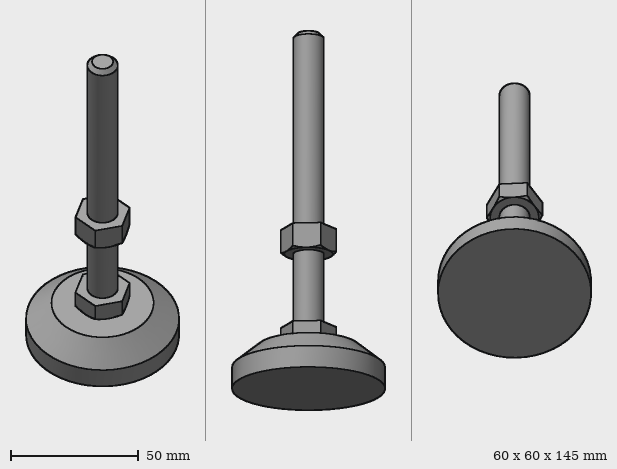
import cadquery as cq
import math

total_height = 145.0

pad_diameter = 60.0
pad_top_diameter = 40.0
pad_rim_height = 8.7
pad_height = 17.0

rod_diameter = 12.0
rod_end_chamfer = 1.9
collar_height = 8.0

across_flats = 19.0
across_corners = across_flats / math.cos(math.radians(30))
hex_chamfer_angle = 30.0

nut_height = 10.0
nut_bottom = 55.0


def make_hexagon(bottom, height):
    """Hexagonal prism, corners on X, with its lower corners turned off by a cone."""
    prism = cq.Workplane("XY").workplane(offset=bottom).polygon(6, across_corners).extrude(height)
    corner_depth = (across_corners - across_flats) / 2
    chamfer_height = corner_depth * math.tan(math.radians(hex_chamfer_angle))
    turned_blank = (
        cq.Workplane("XY")
        .workplane(offset=bottom)
        .circle(across_corners / 2)
        .extrude(height)
        .faces("<Z")
        .chamfer(chamfer_height, corner_depth)
    )
    return prism.intersect(turned_blank)


def make_pad():
    """Round foot with a straight rim and a conical shoulder."""
    half_profile = [
        (0, 0),
        (pad_diameter / 2, 0),
        (pad_diameter / 2, pad_rim_height),
        (pad_top_diameter / 2, pad_height),
        (0, pad_height),
    ]
    return cq.Workplane("XZ").polyline(half_profile).close().revolve(360, (0, 0), (0, 1))


def make_spindle():
    """Plain rod with a chamfered upper end and a hexagonal collar at its foot."""
    rod = (
        cq.Workplane("XY")
        .workplane(offset=pad_height)
        .circle(rod_diameter / 2)
        .extrude(total_height - pad_height)
        .faces(">Z")
        .chamfer(rod_end_chamfer)
    )
    return rod.union(make_hexagon(pad_height, collar_height))


def make_nut():
    """Lock nut with a plain bore fitting the rod."""
    bore = cq.Workplane("XY").workplane(offset=nut_bottom).circle(rod_diameter / 2).extrude(nut_height)
    return make_hexagon(nut_bottom, nut_height).cut(bore)


pad = make_pad()
spindle = make_spindle()
nut = make_nut()

result = cq.Compound.makeCompound([pad.val(), spindle.val(), nut.val()])